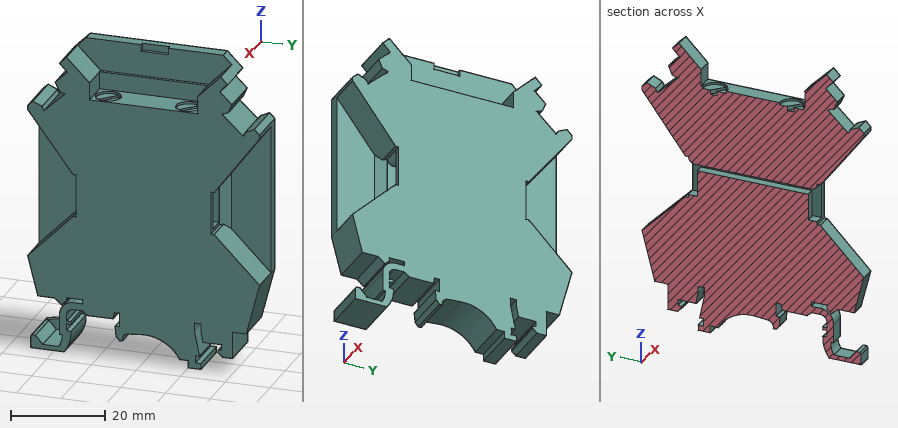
import cadquery as cq
import math

THICKNESS = 10.1
HALF_LENGTH = 26.0
HEIGHT = 69.5
END_TAPER_Z = 21.0

WALL_TOP = 2.75
SHOULDER_Z = 67.6
FUNNEL_TOP_HALF = 17.3
FLOOR_HALF = 12.1
LEDGE_Z = SHOULDER_Z - (FUNNEL_TOP_HALF - FLOOR_HALF)
LEDGE_WIDTH = 0.75
FLOOR_Z = 58.5
NOTCH_LENGTH = 6.1
NOTCH_DEPTH = 1.5
NOTCH_WIDTH = 0.85

SCREW_X = 6.85
SCREW_Y = 9.0
SCREW_DIAMETER = 5.5
SCREW_RECESS = 0.5
SLOT_WIDTH = 1.0
SLOT_DEPTH = 1.0
SLOT_ANGLE = -45

WALL_ENTRY = 2.6
ENTRY_TOP_Z = 54.5
ENTRY_BOTTOM_Z = END_TAPER_Z
THROAT_TOP_Z = 40.9
THROAT_BOTTOM_Z = 31.3
THROAT_Y = 15.8
THROAT_END_Y = 15.1
TAPER_START_Y = 17.1

PASSAGE_X_MIN = 4.85
PASSAGE_X_MAX = 8.75
PASSAGE_TOP_Z = 39.4
PASSAGE_BOTTOM_Z = 32.0
LINTEL_RADIUS = 1.5
CLAMP_X_MAX = 8.5
CLAMP_TOP_Z = 38.1
CLAMP_HALF_LENGTH = 13.0

LATCH_LEG_Y = -18.86
LATCH_LEG_Z = 4.27
LATCH_BEND_Z = 8.2
LATCH_TIP_Y = -25.33
LATCH_TIP_Z = 3.0
TIP_BEVEL_WIDTH = 0.25
TIP_BEVEL_HEIGHT = 0.45
SCOOP_RIM = 1.2
SCOOP_TOP_Z = 3.9
SCOOP_FLOOR_Z = 1.1
SCOOP_UNDERCUT = 0.6
SCOOP_BACK_MIDDLE = (-18.45, 2.35)
SCOOP_BACK_END_Y = -19.0
SCOOP_LIP_FOOT_Y = -22.6
SCOOP_LIP_TOP_Y = -24.2

UPPER_CORNER = [
    (15.35, HEIGHT),
    (18.85, 66.0),
    (17.1, 64.15),
    (19.8, 61.55),
    (18.95, 59.6),
    (17.6, 59.1),
    (22.3, 54.7),
    (22.75, 55.6),
    (24.8, 56.55),
    (HALF_LENGTH, 55.4),
    (HALF_LENGTH, END_TAPER_Z),
]

FIXED_FOOT = [
    (23.0, 9.47),
    (19.94, 9.47),
    (19.94, 3.43),
    (17.67, 3.43),
    (16.67, 4.4),
    (16.67, 4.85),
    (17.44, 5.12),
    (17.44, 6.27),
    (13.3, 6.27),
    (12.85, 8.8),
    (12.85, 10.43),
    (11.39, 10.43),
    (11.39, 8.6),
    (12.55, 3.0),
    (11.6, 3.0),
    (11.6, 1.35),
    (12.85, 1.35),
    (12.85, 0),
    (10.0, 0),
    (10.0, 1.65),
    (8.1, 1.65),
]

ARCH_MIDDLE = (4.3, 5.3)
ARCH_TOP = (-0.3, 6.24)
ARCH_STRAIGHT_END = (-3.6, 5.95)
ARCH_CORNER_MIDDLE = (-4.4, 5.45)

RAIL_HOOK = [
    (-4.73, 4.2),
    (-5.43, 4.2),
    (-6.2, 5.15),
    (-6.4, 7.4),
    (-5.43, 7.4),
    (-5.43, 10.43),
    (-6.55, 10.43),
    (-6.85, 9.0),
    (-12.63, 9.0),
    (-13.78, 9.93),
    (-16.0, 9.93),
]

LATCH_INSIDE = [
    (-17.24, 7.16),
    (-16.28, 7.16),
    (-16.28, 6.47),
    (-17.24, 6.47),
    (-17.24, 5.08),
    (-16.28, 4.85),
]

LATCH_INNER_BEND = ((-16.88, 9.47), (-17.24, 8.6))
LATCH_TOE = ((-16.65, 2.2), (-17.82, 0))
LATCH_OUTER_BEND = ((-18.0, 10.6), (-15.9, 11.55))

LATCH_RELIEF = [
    (-13.7, 11.55),
    (-13.7, 12.5),
    (-17.28, 12.5),
    (-17.28, 11.7),
    (-18.36, 10.66),
    (-19.94, 12.05),
    (-23.7, 12.05),
]


def add_lines(sketch, points):
    for y, z in points:
        sketch = sketch.lineTo(y, z)
    return sketch


def extrude_x(points, x_min, x_max):
    """Prism along X with a polygon of (Y, Z) points as its section."""
    return cq.Workplane("YZ", origin=(x_min, 0, 0)).polyline(points).close().extrude(x_max - x_min)


def box_between(x_min, x_max, y_min, y_max, z_min, z_max):
    size = (x_max - x_min, y_max - y_min, z_max - z_min)
    return cq.Workplane("XY").box(*size, centered=False).translate((x_min, y_min, z_min))


def make_housing():
    sketch = cq.Workplane("YZ").moveTo(*UPPER_CORNER[0])
    sketch = add_lines(sketch, UPPER_CORNER[1:] + FIXED_FOOT)
    sketch = sketch.threePointArc(ARCH_MIDDLE, ARCH_TOP)
    sketch = sketch.lineTo(*ARCH_STRAIGHT_END)
    sketch = sketch.threePointArc(ARCH_CORNER_MIDDLE, RAIL_HOOK[0])
    sketch = add_lines(sketch, RAIL_HOOK[1:])
    sketch = sketch.threePointArc(*LATCH_INNER_BEND)
    sketch = add_lines(sketch, LATCH_INSIDE)
    sketch = sketch.threePointArc(*LATCH_TOE)
    sketch = add_lines(sketch, [
        (LATCH_TIP_Y, 0),
        (LATCH_TIP_Y, LATCH_TIP_Z - TIP_BEVEL_HEIGHT),
        (LATCH_TIP_Y + TIP_BEVEL_WIDTH, LATCH_TIP_Z),
        (LATCH_LEG_Y, LATCH_LEG_Z),
        (LATCH_LEG_Y, LATCH_BEND_Z),
    ])
    sketch = sketch.threePointArc(*LATCH_OUTER_BEND)
    sketch = add_lines(sketch, LATCH_RELIEF)
    sketch = add_lines(sketch, [(-y, z) for y, z in reversed(UPPER_CORNER)])
    return sketch.close().extrude(THICKNESS)


def cut_top_opening(body):
    body = body.cut(box_between(WALL_TOP, THICKNESS, -HALF_LENGTH, HALF_LENGTH, SHOULDER_Z, HEIGHT))
    funnel = extrude_x(
        [
            (-FUNNEL_TOP_HALF, SHOULDER_Z),
            (-FLOOR_HALF, LEDGE_Z),
            (FLOOR_HALF, LEDGE_Z),
            (FUNNEL_TOP_HALF, SHOULDER_Z),
        ],
        WALL_TOP,
        THICKNESS,
    )
    screw_well = box_between(
        WALL_TOP + LEDGE_WIDTH, THICKNESS,
        -FLOOR_HALF, FLOOR_HALF,
        FLOOR_Z, LEDGE_Z,
    )
    notch = box_between(
        WALL_TOP - NOTCH_WIDTH, WALL_TOP,
        -NOTCH_LENGTH / 2, NOTCH_LENGTH / 2,
        HEIGHT - NOTCH_DEPTH, HEIGHT,
    )
    return body.cut(funnel).cut(screw_well).cut(notch)


def cut_screw(body, y):
    """Round screw head sunk below the floor, with a slot across it."""
    floor = cq.Workplane("XY", origin=(SCREW_X, y, FLOOR_Z))
    slot_bottom = SCREW_RECESS + SLOT_DEPTH
    head = floor.circle(SCREW_DIAMETER / 2).extrude(-SCREW_RECESS)
    slot_limit = floor.circle(SCREW_DIAMETER / 2).extrude(-slot_bottom)
    slot = (
        floor.transformed(rotate=(0, 0, SLOT_ANGLE))
        .rect(SCREW_DIAMETER, SLOT_WIDTH)
        .extrude(-slot_bottom)
    )
    return body.cut(head).cut(slot.intersect(slot_limit))


def make_wire_entry():
    """Funnel at the -Y end, with sloped roof and floor and a slanted side wall."""
    funnel = extrude_x(
        [
            (-HALF_LENGTH, ENTRY_TOP_Z),
            (-THROAT_Y, THROAT_TOP_Z),
            (-THROAT_END_Y, THROAT_TOP_Z),
            (-THROAT_END_Y, THROAT_BOTTOM_Z),
            (-THROAT_Y, THROAT_BOTTOM_Z),
            (-HALF_LENGTH, ENTRY_BOTTOM_Z),
        ],
        WALL_ENTRY,
        THICKNESS,
    )
    taper_length = TAPER_START_Y - THROAT_END_Y
    slanted_wall = (
        cq.Workplane("XY")
        .moveTo(WALL_ENTRY, -TAPER_START_Y)
        .lineTo(WALL_ENTRY + taper_length, -THROAT_END_Y)
        .lineTo(WALL_ENTRY, -THROAT_END_Y)
        .close()
        .extrude(HEIGHT)
    )
    return funnel.cut(slanted_wall)


def make_passage():
    """Wire passage through the middle, its roof rounded at both mouths."""
    mouth_top = PASSAGE_TOP_Z + LINTEL_RADIUS
    inner_y = THROAT_END_Y - LINTEL_RADIUS
    diagonal = LINTEL_RADIUS * math.sqrt(0.5)
    return (
        cq.Workplane("YZ", origin=(PASSAGE_X_MIN, 0, 0))
        .moveTo(-THROAT_END_Y, PASSAGE_BOTTOM_Z)
        .lineTo(THROAT_END_Y, PASSAGE_BOTTOM_Z)
        .lineTo(THROAT_END_Y, mouth_top)
        .threePointArc((inner_y + diagonal, mouth_top - diagonal), (inner_y, PASSAGE_TOP_Z))
        .lineTo(-inner_y, PASSAGE_TOP_Z)
        .threePointArc((-inner_y - diagonal, mouth_top - diagonal), (-THROAT_END_Y, mouth_top))
        .close()
        .extrude(PASSAGE_X_MAX - PASSAGE_X_MIN)
    )


def make_clamp():
    return box_between(
        PASSAGE_X_MIN, CLAMP_X_MAX,
        -CLAMP_HALF_LENGTH, CLAMP_HALF_LENGTH,
        PASSAGE_BOTTOM_Z, CLAMP_TOP_Z,
    )


def make_latch_scoop():
    """Finger hollow in the top of the latch, open towards +X."""
    back_y = LATCH_LEG_Y + SCOOP_UNDERCUT
    return (
        cq.Workplane("YZ", origin=(SCOOP_RIM, 0, 0))
        .moveTo(LATCH_LEG_Y, LATCH_LEG_Z)
        .lineTo(LATCH_LEG_Y, SCOOP_TOP_Z)
        .lineTo(back_y, SCOOP_TOP_Z)
        .threePointArc(SCOOP_BACK_MIDDLE, (SCOOP_BACK_END_Y, SCOOP_FLOOR_Z))
        .lineTo(SCOOP_LIP_FOOT_Y, SCOOP_FLOOR_Z)
        .lineTo(SCOOP_LIP_TOP_Y, LATCH_TIP_Z)
        .lineTo(LATCH_TIP_Y, LATCH_TIP_Z)
        .lineTo(LATCH_TIP_Y, LATCH_LEG_Z)
        .close()
        .extrude(THICKNESS - SCOOP_RIM)
    )


result = cut_top_opening(make_housing())
for screw_y in (-SCREW_Y, SCREW_Y):
    result = cut_screw(result, screw_y)
wire_entry = make_wire_entry()
result = result.cut(wire_entry).cut(wire_entry.mirror("XZ"))
result = result.cut(make_passage()).union(make_clamp())
result = result.cut(make_latch_scoop())